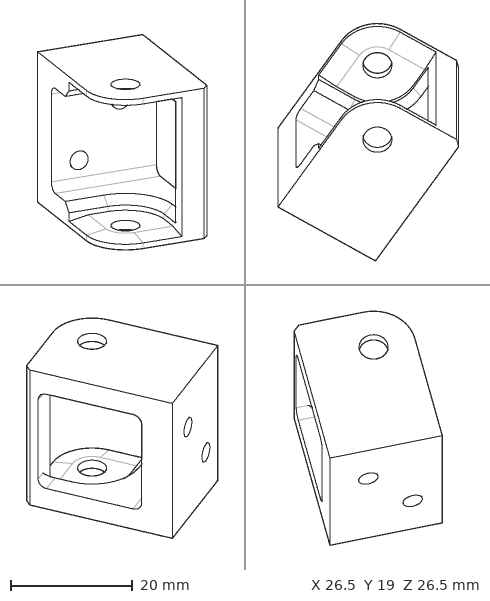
import cadquery as cq
import math

side = 26.5
depth = 19.0
corner_chamfer = 1.0

window_size = 18.5
window_left = 5.5
window_right = window_left + window_size
window_bottom = (side - window_size) / 2
window_radius = 1.5

hinge_radius = 7.0
hinge_x = side - hinge_radius
hinge_y = hinge_radius
pin_diameter = 4.75

plate_edge_thickness = 1.0
pad_height = 0.6
pad_radius = 3.5
flare_start = 2.52
flare_end = window_bottom + window_radius
flare_height = flare_end - flare_start

mount_diameter = 3.25
mount_points = [(12.5, 17.97), (5.0, 8.5)]

overrun = 5.3


def hinge_swept_outline(z, radius):
    """Footprint open toward +X and -Y, rounded at its inner corner."""
    return (
        cq.Workplane("XY", origin=(0, 0, z))
        .moveTo(hinge_x - radius, -overrun)
        .lineTo(hinge_x - radius, hinge_y)
        .radiusArc((hinge_x, hinge_y + radius), radius)
        .lineTo(side + overrun, hinge_y + radius)
        .lineTo(side + overrun, -overrun)
        .close()
    )


def mirrored_pair(solid):
    """The solid together with its mirror image about mid-height."""
    return solid.union(solid.mirror("XY", (0, 0, side / 2)))


def outer_block():
    block = cq.Workplane("XY").box(side, depth, side, centered=False)
    block = block.edges("|Z and >X and <Y").fillet(hinge_radius)
    return block.edges("|Z and >X and >Y").chamfer(corner_chamfer)


def window():
    return (
        cq.Workplane("XY")
        .box(window_size, depth + 2 * overrun, window_size, centered=False)
        .translate((window_left, -overrun, window_bottom))
        .edges("|Y")
        .fillet(window_radius)
    )


def leaf_clearance():
    height = side - 2 * plate_edge_thickness
    return hinge_swept_outline(plate_edge_thickness, hinge_radius).extrude(height)


def bearing_pad():
    """Raised plate face around the pin, sloping down to the outer edges."""
    slope = pad_height / (hinge_radius - pad_radius)
    taper = math.degrees(math.atan(1 / slope))
    pad = (
        cq.Workplane("XY", origin=(0, 0, plate_edge_thickness))
        .moveTo(0, 0)
        .lineTo(hinge_x, 0)
        .radiusArc((side, hinge_y), -hinge_radius)
        .lineTo(side, depth)
        .lineTo(0, depth)
        .close()
        .extrude(pad_height, taper=taper)
    )
    return pad.intersect(leaf_clearance())


def window_flare():
    """45 degree flare from the clearance into the window, short of the +X wall."""
    end_radius = hinge_radius + flare_height
    cone = cq.Workplane("XY").add(
        cq.Solid.makeCone(
            hinge_radius, end_radius, flare_height, cq.Vector(hinge_x, hinge_y, flare_start)
        )
    )
    front_run = (
        cq.Workplane("XZ", origin=(0, hinge_y, 0))
        .moveTo(hinge_x, flare_start)
        .lineTo(hinge_x - hinge_radius, flare_start)
        .lineTo(hinge_x - end_radius, flare_end)
        .lineTo(hinge_x, flare_end)
        .close()
        .extrude(hinge_y + overrun)
    )
    back_run = (
        cq.Workplane("YZ", origin=(hinge_x, 0, 0))
        .moveTo(hinge_y, flare_start)
        .lineTo(hinge_y + hinge_radius, flare_start)
        .lineTo(hinge_y + end_radius, flare_end)
        .lineTo(hinge_y, flare_end)
        .close()
        .extrude(window_right - hinge_x)
    )
    limit = cq.Workplane("XY").box(
        window_right, 2 * depth, side, centered=(False, True, False)
    )
    return cone.union(front_run).union(back_run).intersect(limit)


def pin_hole():
    return cq.Workplane("XY").center(hinge_x, hinge_y).circle(pin_diameter / 2).extrude(side)


def mounting_holes():
    return (
        cq.Workplane("YZ")
        .pushPoints(mount_points)
        .circle(mount_diameter / 2)
        .extrude(window_left + window_radius)
    )


result = (
    outer_block()
    .cut(leaf_clearance())
    .union(mirrored_pair(bearing_pad()))
    .cut(window())
    .cut(mirrored_pair(window_flare()))
    .cut(pin_hole())
    .cut(mounting_holes())
)